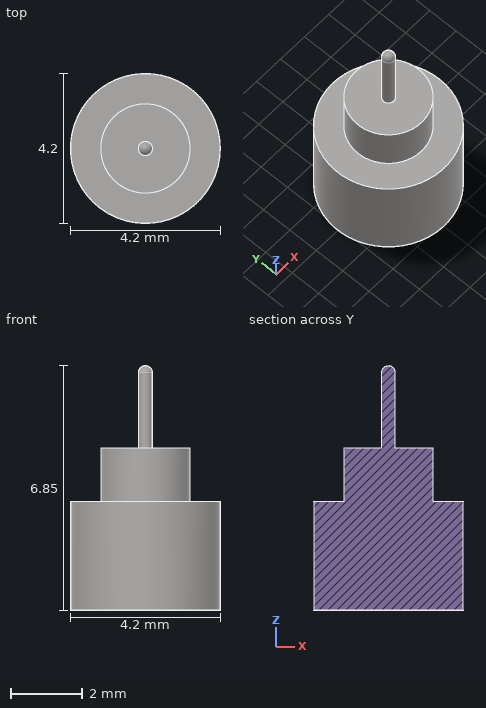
import cadquery as cq

total_height = 6.85
body_diameter = 4.2
body_height = 3.05
collar_diameter = 2.5
collar_height = 1.5
pin_diameter = 0.4

pin_radius = pin_diameter / 2
collar_top = body_height + collar_height
pin_length = total_height - collar_top


def cylinder(diameter, height, base_z):
    """Upright cylinder on the Z axis, standing on the height base_z."""
    return cq.Workplane("XY").workplane(offset=base_z).circle(diameter / 2).extrude(height)


body = cylinder(body_diameter, body_height, 0)
collar = cylinder(collar_diameter, collar_height, body_height)

shank = cylinder(pin_diameter, pin_length - pin_radius, collar_top)
tip = cq.Workplane("XY").sphere(pin_radius).translate((0, 0, total_height - pin_radius))
pin = shank.union(tip)

result = body.union(collar).union(pin)